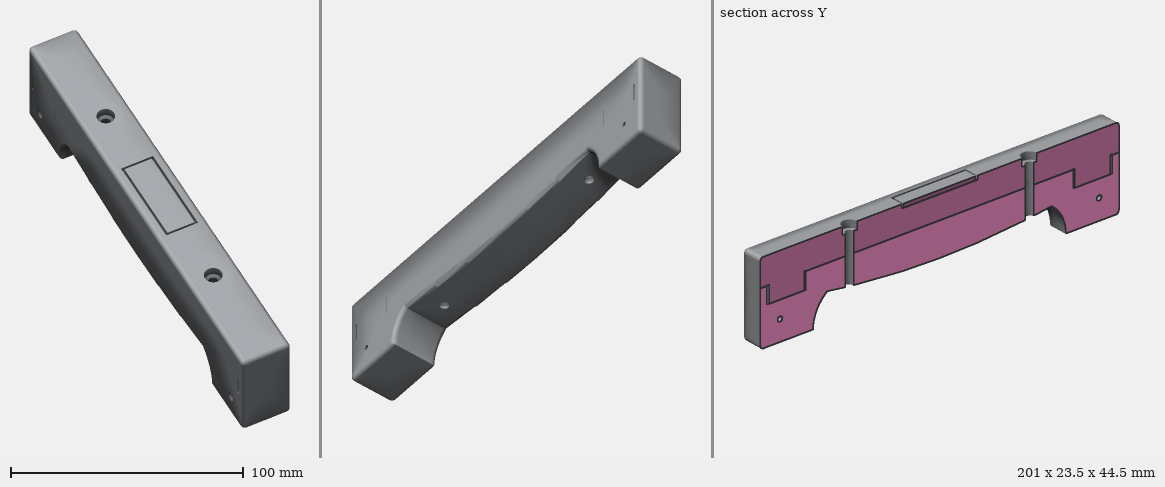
import cadquery as cq
import math

LENGTH = 201.0
WIDTH = 23.5
HEIGHT = 44.5
EDGE_RADIUS = 2.0

LEG_CURVE_RADIUS = 19.9
LEG_FOOT_X = 70.5
BELLY_RADIUS = 432.2
BELLY_Z = 11.3
LEG_INNER_X = 59.3
BELLY_END_X = 69.3

SPLIT_Z = 29.7
NOTCH_DEPTH = 9.0
NOTCH_INNER_X = 75.0
NOTCH_OUTER_X = 96.5
TAB_INNER_X = 75.5
TAB_OUTER_X = 95.5

LEG_HOLE_X = 89.2
LEG_HOLE_Z = 11.3
LEG_HOLE_DIAMETER = 2.5
LEG_RECESS_DIAMETER = 4.5
LEG_RECESS_DEPTH = 2.0

SCREW_X = 50.2
SCREW_DIAMETER = 4.5
SCREW_HEAD_DIAMETER = 8.0
SCREW_HEAD_DEPTH = 4.0

POCKET_LENGTH = 42.2
POCKET_WIDTH = 15.5
POCKET_DEPTH = 2.0
PLATE_LENGTH = 40.2
PLATE_WIDTH = 13.0

SIDES = (-1, 1)


def box_between(x_a, x_b, z_low, z_high):
    """Box across the full width, between two X and two Z positions."""
    return (
        cq.Workplane("XY", origin=((x_a + x_b) / 2, 0, z_low))
        .box(abs(x_b - x_a), WIDTH, z_high - z_low, centered=(True, True, False))
    )


def belly_height(x):
    """Height of the belly arc above Z = 0 at a given X."""
    return BELLY_Z + BELLY_RADIUS - math.sqrt(BELLY_RADIUS**2 - x**2)


def leg_curve_point(angle_degrees):
    """Point on the leg arc; 0 degrees is the foot, 90 degrees is straight above the arc centre."""
    angle = math.radians(angle_degrees)
    centre_x = LEG_FOOT_X - LEG_CURVE_RADIUS
    return (centre_x + LEG_CURVE_RADIUS * math.cos(angle), LEG_CURVE_RADIUS * math.sin(angle))


def arch_block(outline):
    """Extrude an outline across the width and round the front and back rims of its arc."""
    block = outline.close().extrude(WIDTH)
    return block.edges("%CIRCLE").fillet(EDGE_RADIUS)


def make_leg_block():
    """Block at the +X end, hollowed at its foot by the leg arc."""
    reach = LEG_INNER_X - (LEG_FOOT_X - LEG_CURVE_RADIUS)
    end_angle = math.degrees(math.acos(reach / LEG_CURVE_RADIUS))
    return arch_block(
        cq.Workplane("XZ", origin=(0, WIDTH / 2, 0))
        .moveTo(*leg_curve_point(0))
        .lineTo(LENGTH / 2, 0)
        .lineTo(LENGTH / 2, HEIGHT)
        .lineTo(LEG_INNER_X, HEIGHT)
        .lineTo(*leg_curve_point(end_angle))
        .threePointArc(leg_curve_point(end_angle / 2), leg_curve_point(0))
    )


def make_belly_block():
    """Middle block with the sagging underside."""
    end_z = belly_height(BELLY_END_X)
    return arch_block(
        cq.Workplane("XZ", origin=(0, WIDTH / 2, 0))
        .moveTo(-BELLY_END_X, HEIGHT)
        .lineTo(-BELLY_END_X, end_z)
        .threePointArc((0, BELLY_Z), (BELLY_END_X, end_z))
        .lineTo(BELLY_END_X, HEIGHT)
    )


def make_envelope():
    """Rounded outer shape of base and cover together; the rims mitre where leg and belly meet."""
    leg = make_leg_block()
    arch = make_belly_block().union(leg).union(leg.mirror("YZ"))
    rounded_box = (
        cq.Workplane("XY")
        .box(LENGTH, WIDTH, HEIGHT, centered=(True, True, False))
        .edges()
        .fillet(EDGE_RADIUS)
    )
    return rounded_box.intersect(arch)


def upper_region(inner_x, outer_x):
    """Space above the split line, with a block reaching down at each end."""
    region = box_between(-LENGTH / 2, LENGTH / 2, SPLIT_Z, HEIGHT)
    for side in SIDES:
        block = box_between(side * inner_x, side * outer_x, SPLIT_Z - NOTCH_DEPTH, SPLIT_Z)
        region = region.union(block)
    return region


def screw_shafts():
    return (
        cq.Workplane("XY")
        .pushPoints([(side * SCREW_X, 0) for side in SIDES])
        .circle(SCREW_DIAMETER / 2)
        .extrude(HEIGHT)
    )


def screw_heads():
    return (
        cq.Workplane("XY", origin=(0, 0, HEIGHT))
        .pushPoints([(side * SCREW_X, 0) for side in SIDES])
        .circle(SCREW_HEAD_DIAMETER / 2)
        .extrude(-SCREW_HEAD_DEPTH)
    )


def leg_holes():
    """Cross holes with a wider mouth in the front face."""
    front = (
        cq.Workplane("XZ", origin=(0, -WIDTH / 2, 0))
        .pushPoints([(side * LEG_HOLE_X, LEG_HOLE_Z) for side in SIDES])
    )
    shafts = front.circle(LEG_HOLE_DIAMETER / 2).extrude(-WIDTH)
    mouths = front.circle(LEG_RECESS_DIAMETER / 2).extrude(-LEG_RECESS_DEPTH)
    return shafts.union(mouths)


def top_inlay(length, width):
    """Rectangular block from the pocket floor up to the top face."""
    return (
        cq.Workplane("XY", origin=(0, 0, HEIGHT - POCKET_DEPTH))
        .box(length, width, POCKET_DEPTH, centered=(True, True, False))
    )


def make_base():
    body = make_envelope().cut(upper_region(NOTCH_INNER_X, NOTCH_OUTER_X))
    return body.cut(screw_shafts()).cut(leg_holes())


def make_cover():
    body = make_envelope().intersect(upper_region(TAB_INNER_X, TAB_OUTER_X))
    pocket = top_inlay(POCKET_LENGTH, POCKET_WIDTH)
    return body.cut(screw_shafts()).cut(screw_heads()).cut(pocket)


def make_plate():
    return top_inlay(PLATE_LENGTH, PLATE_WIDTH)


base = make_base()
cover = make_cover()
plate = make_plate()

result = cq.Compound.makeCompound([base.val(), cover.val(), plate.val()])